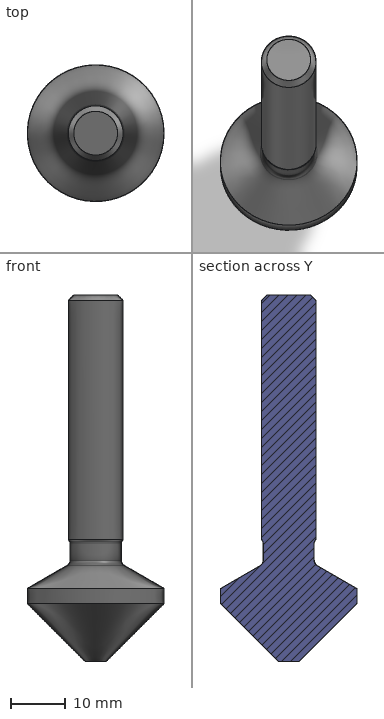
import cadquery as cq
import math

total_length = 67.0
head_radius = 12.5
shank_radius = 5.0
neck_radius = 4.7

tip_radius = 1.9
cone_height = head_radius - tip_radius

rim_height = 2.75
back_cone_angle = 30.0
rim_top = cone_height + rim_height
back_cone_height = (head_radius - neck_radius) * math.tan(math.radians(back_cone_angle))
neck_bottom = rim_top + back_cone_height
neck_root_fillet = 1.0

shank_bottom = 22.3
shoulder_half_angle = 30.0
shoulder_height = (shank_radius - neck_radius) / math.tan(math.radians(shoulder_half_angle))
neck_top = shank_bottom - shoulder_height
neck_top_fillet = 0.5
end_chamfer = 1.0


def turned_body():
    """Revolve the half profile (radius, height) about the Z axis."""
    profile = [
        (0, 0),
        (tip_radius, 0),
        (head_radius, cone_height),
        (head_radius, rim_top),
        (neck_radius, neck_bottom),
        (neck_radius, neck_top),
        (shank_radius, shank_bottom),
        (shank_radius, total_length - end_chamfer),
        (shank_radius - end_chamfer, total_length),
        (0, total_length),
    ]
    half_section = cq.Workplane("XZ").polyline(profile).close()
    return half_section.revolve(360, (0, 0, 0), (0, 1, 0))


def round_edge_at(body, height, radius):
    """Fillet the circular edge of the body that lies at the given height."""
    margin = 0.01
    edge_zone = cq.selectors.BoxSelector(
        (-head_radius, -head_radius, height - margin),
        (head_radius, head_radius, height + margin),
        boundingbox=True,
    )
    return body.edges(edge_zone).fillet(radius)


cutter = turned_body()
cutter = round_edge_at(cutter, neck_bottom, neck_root_fillet)
result = round_edge_at(cutter, neck_top, neck_top_fillet)